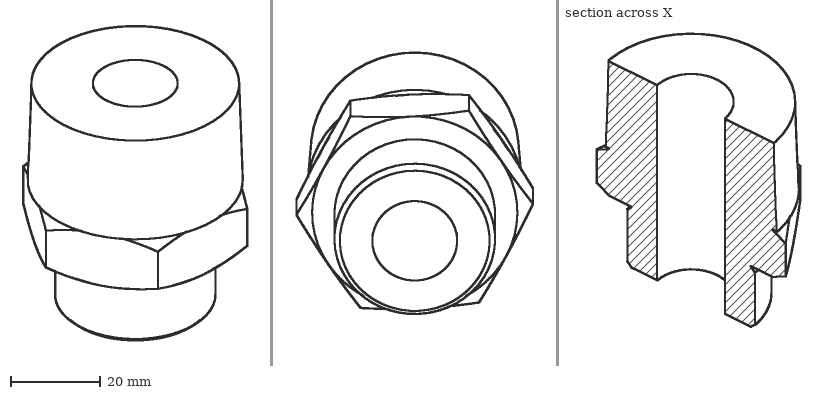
import cadquery as cq
import math

total_height = 58.0
hex_bottom = 18.0
hex_top = 32.0

spigot_diameter = 36.0
spigot_chamfer = 1.2

hex_across_corners = 53.1
hex_across_flats = hex_across_corners * math.cos(math.radians(30))
hex_chamfer_angle = 30.0

taper_base_diameter = 48.25
taper_ratio = 1 / 16
taper_height = total_height - hex_top
taper_top_diameter = taper_base_diameter - taper_ratio * taper_height

bore_diameter = 19.0


def make_spigot():
    """Cylinder below the hexagon, chamfered at both ends."""
    return cq.Workplane("XY").circle(spigot_diameter / 2).extrude(hex_bottom).edges().chamfer(spigot_chamfer)


def make_hexagon():
    """Hexagonal prism with its corners turned down to cones at both ends."""
    flat_radius = hex_across_flats / 2
    corner_radius = hex_across_corners / 2
    corner_drop = (corner_radius - flat_radius) * math.tan(math.radians(hex_chamfer_angle))
    prism = (
        cq.Workplane("XY", origin=(0, 0, hex_bottom))
        .polygon(6, hex_across_corners)
        .extrude(hex_top - hex_bottom)
        .rotate((0, 0, 0), (0, 0, 1), 90)
    )
    turned_blank = (
        cq.Workplane("XZ")
        .polyline([
            (0, hex_bottom),
            (flat_radius, hex_bottom),
            (corner_radius, hex_bottom + corner_drop),
            (corner_radius, hex_top - corner_drop),
            (flat_radius, hex_top),
            (0, hex_top),
        ])
        .close()
        .revolve(360, (0, 0), (0, 1))
    )
    return prism.intersect(turned_blank)


def make_tapered_body():
    """Conical body above the hexagon."""
    return (
        cq.Workplane("XZ")
        .polyline([
            (0, hex_top),
            (taper_base_diameter / 2, hex_top),
            (taper_top_diameter / 2, total_height),
            (0, total_height),
        ])
        .close()
        .revolve(360, (0, 0), (0, 1))
    )


bore = cq.Workplane("XY").circle(bore_diameter / 2).extrude(total_height)
result = make_spigot().union(make_hexagon()).union(make_tapered_body()).cut(bore)